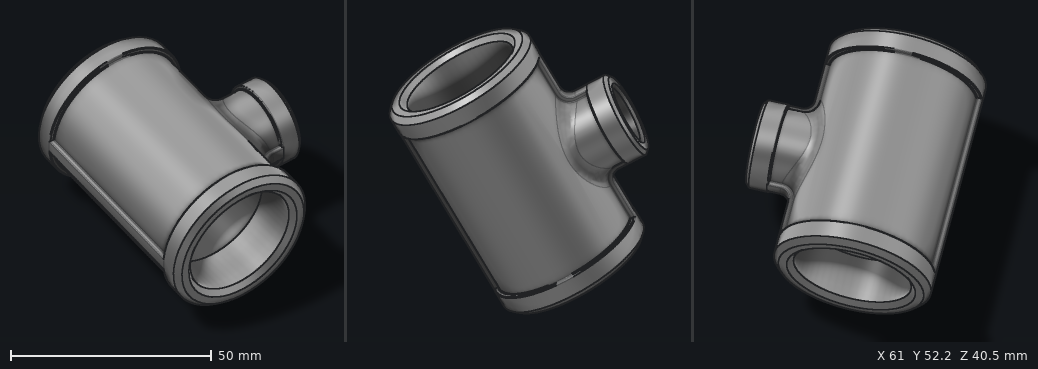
import cadquery as cq

length = 61.0
band_diameter = 40.5
band_length = 6.1
band_chamfer = 1.5
body_diameter = 37.95
bore_diameter = 30.3
mouth_diameter = 33.2
bore_depth = 13.0
cavity_diameter = 34.2

branch_reach = 32.0
branch_band_diameter = 22.5
branch_band_length = 6.0
branch_chamfer = 1.0
neck_diameter = 20.5
branch_bore_diameter = 14.95
branch_mouth_diameter = 16.7

rib_width = 4.0
neck_fillet = 4.0
rib_corner_fillet = 2.75
edge_fillet = 0.25
overlap = 0.3

half_length = length / 2
body_end = half_length - band_length
branch_band_start = branch_reach - branch_band_length
neck_end = branch_band_start + overlap
core_length = 2 * (body_end + overlap)


def run_cylinder(diameter, x_start, x_end):
    """Cylinder on the X axis."""
    return cq.Workplane("YZ", origin=(x_start, 0, 0)).circle(diameter / 2).extrude(x_end - x_start)


def branch_cylinder(diameter, y_start, y_end):
    """Cylinder on the Y axis."""
    return cq.Workplane("XZ", origin=(0, y_start, 0)).circle(diameter / 2).extrude(y_start - y_end)


def centred_run_cylinder(diameter, cylinder_length):
    """Cylinder on the X axis, centred on the origin."""
    return run_cylinder(diameter, -cylinder_length / 2, cylinder_length / 2)


def box_selector(half_x, y_low, y_high):
    """Selects what has its centre in a box about the YZ plane that spans the part's height."""
    return cq.selectors.BoxSelector(
        (-half_x, y_low, -band_diameter / 2),
        (half_x, y_high, band_diameter / 2),
    )


crotch = box_selector(length / 4, 0, branch_band_start)
between_bands = box_selector(body_end, -band_diameter, branch_band_start)


def make_core():
    """Run body and branch neck, blended where they meet."""
    body = centred_run_cylinder(body_diameter, core_length)
    neck = branch_cylinder(neck_diameter, 0, neck_end)
    junction = cq.selectors.AndSelector(crotch, cq.selectors.TypeSelector("BSPLINE"))
    return body.union(neck).edges(junction).fillet(neck_fillet)


def make_ribs():
    """Ribs along both sides of the run, turning up both sides of the neck."""
    slab = cq.Workplane("XY").box(length, band_diameter, rib_width)
    run_rib = centred_run_cylinder(band_diameter, core_length).intersect(slab)
    neck_rib = cq.Workplane("XY").box(
        branch_band_diameter, neck_end, rib_width, centered=(True, False, True)
    )
    corners = cq.selectors.AndSelector(crotch, cq.selectors.TypeSelector("CIRCLE"))
    return run_rib.union(neck_rib).edges(corners).fillet(rib_corner_fillet)


def make_ribbed_core():
    """Core and ribs, with the ribs' long edges and feet rounded."""
    ribbed = make_core().union(make_ribs())
    return ribbed.faces("|Z").edges(between_bands).fillet(edge_fillet)


def make_band(outer, inner, width, chamfer):
    """
    Band about the Z axis, with its chamfered end face at Z = 0.
    At the other end its rim is rounded and its foot flares out of the inner cylinder.
    """
    outer_radius = outer / 2
    inner_radius = inner / 2
    profile = (
        cq.Workplane("XZ")
        .lineTo(outer_radius - chamfer, 0)
        .lineTo(outer_radius, chamfer)
        .lineTo(outer_radius, width - edge_fillet)
        .radiusArc((outer_radius - edge_fillet, width), -edge_fillet)
        .lineTo(inner_radius + edge_fillet, width)
        .radiusArc((inner_radius, width + edge_fillet), edge_fillet)
        .lineTo(0, width + edge_fillet)
        .close()
    )
    return profile.revolve(360, (0, 0, 0), (0, 1, 0))


def make_bands():
    """Raised bands around the three openings."""
    run_band = make_band(band_diameter, body_diameter, band_length, band_chamfer)
    left_band = run_band.rotate((0, 0, 0), (0, 1, 0), 90).translate((-half_length, 0, 0))
    right_band = left_band.mirror("YZ")
    branch_band = make_band(branch_band_diameter, neck_diameter, branch_band_length, branch_chamfer)
    branch_band = branch_band.rotate((0, 0, 0), (1, 0, 0), 90).translate((0, branch_reach, 0))
    return [left_band, right_band, branch_band]


def make_mouth(mouth, bore, centre, inward):
    """45 degree countersink that narrows from mouth to bore along the inward direction."""
    depth = (mouth - bore) / 2
    return cq.Solid.makeCone(mouth / 2, bore / 2, depth, cq.Vector(centre), cq.Vector(inward))


def make_hollow():
    """Bores with countersunk mouths, and the wider cavity in the middle of the run."""
    hollow = centred_run_cylinder(bore_diameter, length)
    hollow = hollow.union(centred_run_cylinder(cavity_diameter, length - 2 * bore_depth))
    hollow = hollow.union(branch_cylinder(branch_bore_diameter, 0, branch_reach))
    for side in (-1, 1):
        hollow = hollow.union(
            make_mouth(mouth_diameter, bore_diameter, (side * half_length, 0, 0), (-side, 0, 0))
        )
    return hollow.union(
        make_mouth(branch_mouth_diameter, branch_bore_diameter, (0, branch_reach, 0), (0, -1, 0))
    )


outside = make_ribbed_core()
for band in make_bands():
    outside = outside.union(band)

result = outside.cut(make_hollow())